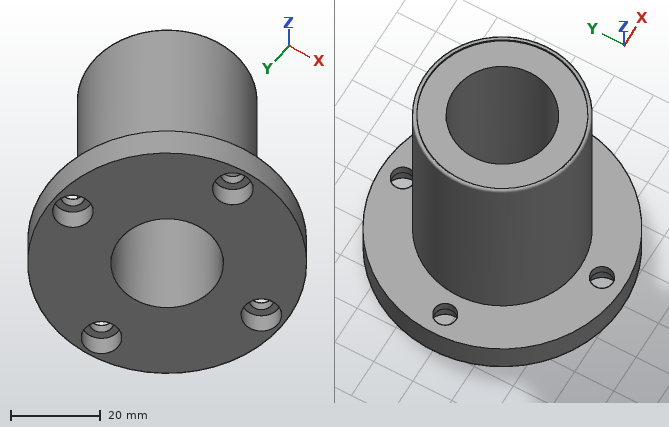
import cadquery as cq

flange_diameter = 62.0
flange_thickness = 8.0
sleeve_diameter = 40.0
total_height = 59.0
bore_diameter = 25.0
hole_diameter = 5.5
hole_circle_diameter = 51.0
hole_count = 4
counterbore_diameter = 9.0
counterbore_depth = 5.5
rim_fillet = 0.5
rim_width = 1.0
recess_depth = 0.5

sleeve_height = total_height - flange_thickness
recess_diameter = sleeve_diameter - 2 * rim_width


def upright_cylinder(diameter, height, base_height):
    """Cylinder around the Z axis, standing on the given height."""
    return cq.Workplane("XY").workplane(offset=base_height).circle(diameter / 2).extrude(height)


def hole_ring(diameter, depth):
    """Evenly spaced cylinders on the hole circle, rising from the underside of the flange."""
    return (
        cq.Workplane("XY")
        .polarArray(hole_circle_diameter / 2, 0, 360, hole_count)
        .circle(diameter / 2)
        .extrude(depth)
    )


flange = upright_cylinder(flange_diameter, flange_thickness, 0)
sleeve = upright_cylinder(sleeve_diameter, sleeve_height, flange_thickness)
sleeve = sleeve.faces(">Z").edges().fillet(rim_fillet)

recess = upright_cylinder(recess_diameter, recess_depth, total_height - recess_depth)

bore = upright_cylinder(bore_diameter, total_height, 0)

mounting_holes = hole_ring(hole_diameter, flange_thickness)
counterbores = hole_ring(counterbore_diameter, counterbore_depth)

body = flange.union(sleeve).cut(recess).cut(bore)
result = body.cut(mounting_holes).cut(counterbores)